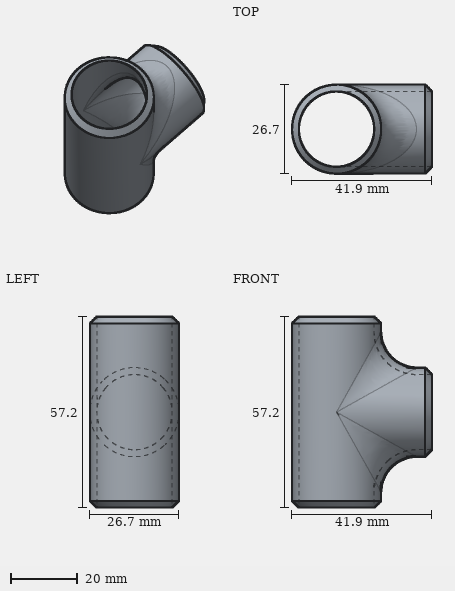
import cadquery as cq
import math

run_length = 57.2
overall_width = 41.9
outer_diameter = 26.7
outer_radius = outer_diameter / 2
branch_length = overall_width - outer_radius
wall = 2.1
inner_radius = outer_radius - wall
bevel_height = 2.05
end_land = 0.05
crotch_reach = 23.9
blend_sections = 9


def sector(radius, *corners):
    """Prism across the full pipe width with the given XZ corners."""
    return cq.Workplane("XZ").polyline(corners).close().extrude(2 * radius, both=True)


def run_part(radius):
    """Run rod with a V notch where the branch and the blends fit."""
    rod = cq.Workplane("XY").circle(radius).extrude(run_length / 2, both=True)
    slope = crotch_reach / radius
    tip = 2 * radius
    return rod.cut(sector(radius, (0, 0), (tip, -slope * tip), (tip, slope * tip)))


def branch_part(radius):
    """Branch rod sharpened to a straight edge that lies on the Y axis."""
    rod = cq.Workplane("YZ").circle(radius).extrude(branch_length)
    slope = radius / crotch_reach
    tip = 2 * branch_length
    return rod.intersect(sector(radius, (0, 0), (tip, -slope * tip), (tip, slope * tip)))


def crotch_blend(radius):
    """Upper wedge whose concave face blends the run into the branch.

    Its arc fades to nothing at the two side points where the pipes touch, so
    every plane through the Y axis cuts it in a half ellipse.
    """
    arc_radius = crotch_reach - radius
    start_angle = math.atan2(radius, crotch_reach)
    angle_step = (math.pi / 2 - 2 * start_angle) / (blend_sections - 1)
    sections = []
    for i in range(blend_sections):
        angle = start_angle + i * angle_step
        along = crotch_reach * (math.cos(angle) + math.sin(angle))
        distance = along - math.sqrt(along**2 - 2 * crotch_reach**2 + arc_radius**2)
        plane = cq.Plane(
            origin=(0, 0, 0),
            xDir=(math.cos(angle), 0, math.sin(angle)),
            normal=(-math.sin(angle), 0, math.cos(angle)),
        )
        half_ellipse = (
            cq.Workplane(plane)
            .moveTo(0, -radius)
            .ellipseArc(distance, radius, -90, 90, startAtCurrent=True)
            .close()
        )
        sections.append(half_ellipse.val())

    _, *faces = sorted(cq.Solid.makeLoft(sections).Faces(), key=lambda face: face.Area())
    return cq.Workplane(cq.Solid.makeSolid(cq.Shell.makeShell(faces)))


def filled_tee(radius):
    """Solid tee of one radius with a blend above and below the branch."""
    upper_blend = crotch_blend(radius)
    lower_blend = upper_blend.mirror("XY")
    return run_part(radius).union(upper_blend).union(lower_blend).union(branch_part(radius))


def end_bevel(direction, distance):
    """Ring that trims one pipe end to a weld bevel."""
    tip_radius = inner_radius + end_land
    origin = tuple(distance * component for component in direction)
    side = (0, 1, 0)
    profile_normal = cq.Vector(side).cross(cq.Vector(direction)).toTuple()
    profile = cq.Workplane(cq.Plane(origin=origin, xDir=side, normal=profile_normal))
    return (
        profile
        .moveTo(tip_radius, 0)
        .lineTo(outer_radius, -bevel_height)
        .lineTo(2 * outer_radius, -bevel_height)
        .lineTo(2 * outer_radius, 0)
        .close()
        .revolve(360, (0, 0), (0, 1))
    )


tee = filled_tee(outer_radius).cut(filled_tee(inner_radius))

pipe_ends = [
    ((0, 0, 1), run_length / 2),
    ((0, 0, -1), run_length / 2),
    ((1, 0, 0), branch_length),
]
for direction, distance in pipe_ends:
    tee = tee.cut(end_bevel(direction, distance))

result = tee